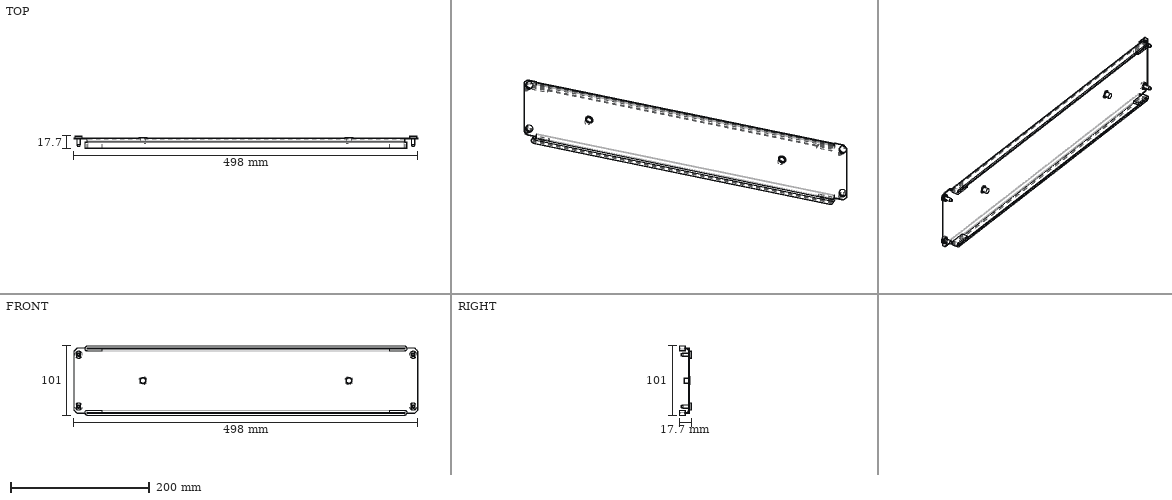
import cadquery as cq

plate_length = 498.0
plate_height = 95.0
sheet = 1.5
corner_chamfer = 5.0
bend_radius = 3.0
total_depth = 17.69

fastener_head_diameter = 10.5
fastener_head_height = 3.0
fastener_stem_diameter = 5.0
fastener_reach = 12.0
fastener_tip_length = 2.5
fastener_tip_inset = 1.0
fastener_side_inset = 7.0
fastener_edge_inset = 10.0
fastener_x = plate_length / 2 - fastener_side_inset
fastener_z = plate_height / 2 - fastener_edge_inset
slot_width = 6.0
slot_height = 10.5

knob_spacing = 298.0
knob_diameter = 7.5
knob_hole_diameter = 9.0
knob_reach = 7.5
knob_flange_diameter = 11.5
knob_flange_height = 0.8

strip_thickness = 3.0
strip_width = 9.0
strip_leg = 25.0
strip_length = 466.0

front_y = fastener_head_height - total_depth
flange_top = plate_height / 2
bend_y = -sheet - bend_radius
bend_z = flange_top - sheet - bend_radius
flange_length = strip_length - 2 * strip_thickness


def cylinder_y(x, z, diameter, y_rear, y_front):
    """Round bar along Y between y_rear and y_front."""
    plane = cq.Plane(origin=(x, y_rear, z), xDir=(1, 0, 0), normal=(0, -1, 0))
    return cq.Workplane(plane).circle(diameter / 2).extrude(y_rear - y_front)


def box_between(x_size, y_rear, y_front, z_low, z_high):
    """Box centred on X = 0."""
    box = cq.Workplane("XY").box(x_size, y_rear - y_front, z_high - z_low)
    return box.translate((0, (y_rear + y_front) / 2, (z_low + z_high) / 2))


def mirrored(body):
    """Copy of an upper body at the lower edge of the plate."""
    return body.mirror("XY")


def make_flange():
    """Upper flange with its bend, which starts where the flat of the plate ends."""
    inner_z = flange_top - sheet
    return (
        cq.Workplane("YZ", origin=(-flange_length / 2, 0, 0))
        .moveTo(0, bend_z)
        .radiusArc((bend_y, flange_top), -(bend_radius + sheet))
        .lineTo(front_y, flange_top)
        .lineTo(front_y, inner_z)
        .lineTo(bend_y, inner_z)
        .radiusArc((-sheet, bend_z), bend_radius)
        .close()
        .extrude(flange_length)
    )


def make_plate():
    """Plate with its flanges, the fastener slots and the knob holes."""
    plate = box_between(plate_length, 0, -sheet, -plate_height / 2, plate_height / 2)
    plate = plate.edges("|Y").chamfer(corner_chamfer)
    bend_room = box_between(flange_length, 0, -sheet, bend_z, flange_top)
    plate = plate.cut(bend_room).cut(mirrored(bend_room))
    flange = make_flange()
    plate = plate.union(flange).union(mirrored(flange))
    for x, z in fastener_places:
        slot = cq.Workplane("XZ").center(x, z).slot2D(slot_height, slot_width, 90).extrude(sheet)
        plate = plate.cut(slot)
    for x in knob_places:
        plate = plate.cut(cylinder_y(x, 0, knob_hole_diameter, 0, -sheet))
    return plate


def make_fastener(x, z):
    """Fastener with a round head and a tapered tip."""
    head = cylinder_y(x, z, fastener_head_diameter, fastener_head_height, 0)
    stem = cylinder_y(x, z, fastener_stem_diameter, 0, -fastener_reach)
    stem = stem.faces("<Y").chamfer(fastener_tip_length, fastener_tip_inset)
    return head.union(stem)


def make_knob(x):
    """Knob on the middle line of the plate."""
    flange = cylinder_y(x, 0, knob_flange_diameter, knob_flange_height, 0)
    stem = cylinder_y(x, 0, knob_diameter, 0, -knob_reach)
    return flange.union(stem)


def make_strip():
    """Upper strip: one outer leg over the full length and a short inner leg at each end."""
    rear_y = front_y + strip_width
    outer_z = flange_top + strip_thickness
    flange_inner_z = flange_top - sheet
    inner_z = flange_inner_z - strip_thickness
    end_x = strip_length / 2
    outer_radius = strip_thickness + sheet
    inner_radius = strip_thickness
    strip = (
        cq.Workplane("XZ", origin=(0, rear_y, 0))
        .moveTo(-end_x + outer_radius, outer_z)
        .lineTo(end_x - outer_radius, outer_z)
        .radiusArc((end_x, flange_inner_z), outer_radius)
        .radiusArc((end_x - inner_radius, inner_z), inner_radius)
        .lineTo(-end_x + inner_radius, inner_z)
        .radiusArc((-end_x, flange_inner_z), inner_radius)
        .radiusArc((-end_x + outer_radius, outer_z), outer_radius)
        .close()
        .extrude(strip_width)
    )
    flange_room = box_between(flange_length, rear_y, front_y, flange_inner_z, flange_top)
    opening_length = strip_length - 2 * strip_leg
    opening = box_between(opening_length, rear_y, front_y, inner_z, flange_inner_z)
    return strip.cut(flange_room).cut(opening)


knob_places = [-knob_spacing / 2, knob_spacing / 2]
fastener_places = [(x, z) for x in (-fastener_x, fastener_x) for z in (-fastener_z, fastener_z)]

plate = make_plate()
upper_strip = make_strip()
lower_strip = mirrored(upper_strip)
fasteners = [make_fastener(x, z) for x, z in fastener_places]
knobs = [make_knob(x) for x in knob_places]

bodies = [plate, upper_strip, lower_strip, *fasteners, *knobs]
result = cq.Compound.makeCompound([body.val() for body in bodies])